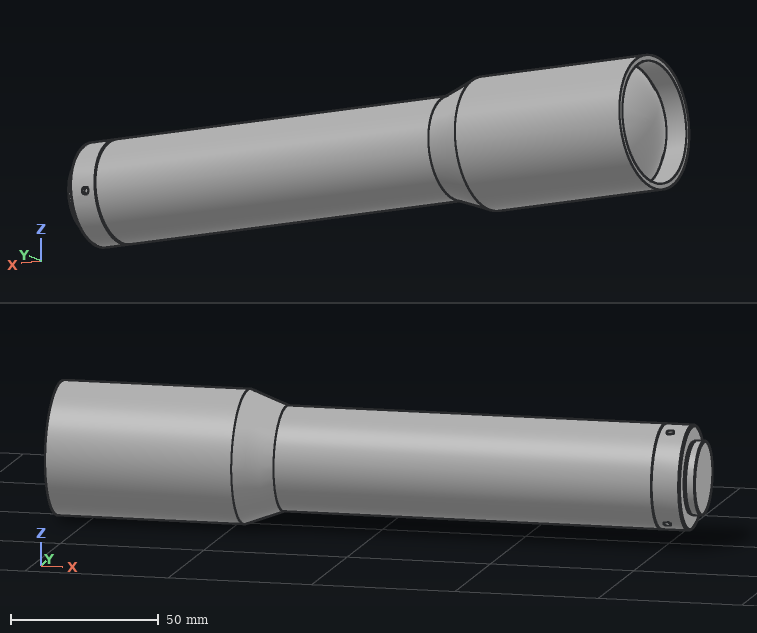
import cadquery as cq
import math

overall_length = 224.15
head_diameter = 46.0
barrel_diameter = 36.0
bore_diameter = 42.0
thread_diameter = 25.4
relief_diameter = 24.6

head_length = 65.0
taper_length = 13.5
collar_length = 10.0
mount_neck_length = 4.0
relief_length = 0.8

collar_front_chamfer = 0.25
collar_back_chamfer = 0.5
thread_chamfer = 0.3

dome_rim_depth = 8.6
dome_height = 8.4

screw_count = 3
screw_diameter = 2.5
screw_depth = 1.5
first_screw_angle = 22.0
screw_setback = 4.0

head_radius = head_diameter / 2
barrel_radius = barrel_diameter / 2
bore_radius = bore_diameter / 2
thread_radius = thread_diameter / 2
relief_radius = relief_diameter / 2

front_x = -overall_length / 2
back_x = overall_length / 2
taper_start_x = front_x + head_length
taper_end_x = taper_start_x + taper_length
collar_end_x = back_x - mount_neck_length
collar_start_x = collar_end_x - collar_length
relief_end_x = collar_end_x + relief_length
screw_x = collar_start_x + screw_setback

dome_rim_x = front_x + dome_rim_depth
dome_apex_x = dome_rim_x - dome_height
dome_sphere_radius = (bore_radius**2 + dome_height**2) / (2 * dome_height)
dome_half_angle = math.asin(bore_radius / dome_sphere_radius)
dome_mid_x = dome_apex_x + dome_sphere_radius * (1 - math.cos(dome_half_angle / 2))
dome_mid_radius = dome_sphere_radius * math.sin(dome_half_angle / 2)


def revolve_about_axis(profile):
    """Turn a closed half profile, drawn in XY, around the X axis."""
    return profile.revolve(360, (0, 0, 0), (1, 0, 0))


def make_barrel():
    """Head with its domed bore, the taper and the long barrel."""
    profile = (
        cq.Workplane("XY")
        .moveTo(dome_apex_x, 0)
        .threePointArc((dome_mid_x, dome_mid_radius), (dome_rim_x, bore_radius))
        .lineTo(front_x, bore_radius)
        .lineTo(front_x, head_radius)
        .lineTo(taper_start_x, head_radius)
        .lineTo(taper_end_x, barrel_radius)
        .lineTo(collar_start_x, barrel_radius)
        .lineTo(collar_start_x, 0)
        .close()
    )
    return revolve_about_axis(profile)


def make_screw_hole(angle):
    """Cutter for one blind radial hole, running out past the collar surface."""
    floor_radius = barrel_radius - screw_depth
    return (
        cq.Workplane("XY", origin=(screw_x, 0, floor_radius))
        .circle(screw_diameter / 2)
        .extrude(2 * screw_depth)
        .rotate((0, 0, 0), (1, 0, 0), angle)
    )


def make_mount():
    """Camera mount: collar with set screw holes, thread relief and threaded neck."""
    profile = (
        cq.Workplane("XY")
        .moveTo(collar_start_x, 0)
        .lineTo(collar_start_x, barrel_radius - collar_front_chamfer)
        .lineTo(collar_start_x + collar_front_chamfer, barrel_radius)
        .lineTo(collar_end_x - collar_back_chamfer, barrel_radius)
        .lineTo(collar_end_x, barrel_radius - collar_back_chamfer)
        .lineTo(collar_end_x, relief_radius)
        .lineTo(relief_end_x, relief_radius)
        .lineTo(relief_end_x, thread_radius)
        .lineTo(back_x - thread_chamfer, thread_radius)
        .lineTo(back_x, thread_radius - thread_chamfer)
        .lineTo(back_x, 0)
        .close()
    )
    mount = revolve_about_axis(profile)
    for index in range(screw_count):
        mount = mount.cut(make_screw_hole(first_screw_angle + index * 360 / screw_count))
    return mount


barrel = make_barrel()
mount = make_mount()

result = cq.Compound.makeCompound([barrel.val(), mount.val()])